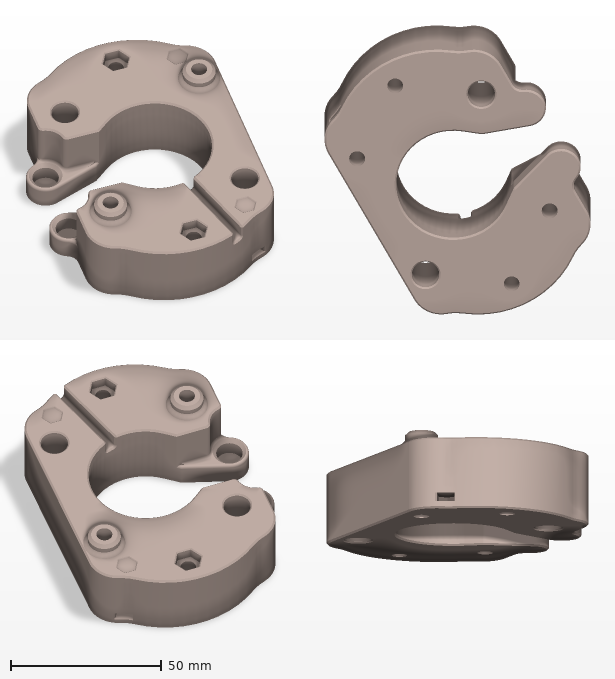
import cadquery as cq
import math

body_height = 24.0
outline_center_y = -1.55
half_depth = 32.75
corner_center_x = 29.6
corner_radius = 10.25
side_center_x = 14.1
side_radius = 34.735
neck_radius = 16.0
edge_chamfer = 0.6
front_y = outline_center_y - half_depth

bore_radius = 19.0
flank_angle = 38.0
gap_half_width = 12.0

tab_x = gap_half_width
tab_y = front_y
tab_radius = 6.5
tab_height = 8.5
tab_edge_fillet = 1.03
web_angle = 18.4
web_tip_fillet = 2.0
tab_root_radius = 4.0
tab_clearance_radius = tab_radius
wall_fillet = 1.75
foot_fillet = 1.03
pocket_diameter = 8.8
pocket_rim_diameter = 11.2
pocket_floor_z = 2.4

bolt_offset = 47.14 / 2
bolt_diameter = 5.3
spigot_diameter = 11.0
spigot_top_diameter = 8.8
spigot_foot_diameter = 14.0
overall_height = 28.4
clearance_diameter = 9.1
clearance_rim = 0.5

nut_x = 40.15
nut_hole_diameter = 5.2
nut_flats = 8.1
nut_depth = 4.0
hex_rim = 0.4
recess_x = 35.1
recess_y = 19.9
recess_flats = 5.9

nut_slot_angle = 150.0
nut_slot_width = recess_flats
nut_slot_bottom_z = 2.4
nut_slot_height = 2.9
nut_slot_flare_start = 5.4
nut_slot_reach = 10.0

slot_angle = 17.0
slot_width = 3.7
slot_depth = 5.3
slot_floor_fillet = 0.8
slot_length = 60.0

tolerance = 0.01


def polar(center, radius, degrees):
    """Point on a circle."""
    angle = math.radians(degrees)
    return (center[0] + radius * math.cos(angle), center[1] + radius * math.sin(angle))


def mirror_x(solid):
    """Copy of a solid on the other side of the YZ plane."""
    return solid.mirror("YZ")


def toward(start, target, distance):
    """Point at a distance from start on the way to target."""
    span = math.dist(start, target)
    return tuple(s + (t - s) * distance / span for s, t in zip(start, target))


def heading(start, target):
    """Direction from start to target in degrees."""
    return math.degrees(math.atan2(target[1] - start[1], target[0] - start[0]))


def make_block():
    """Rounded plate, worked out in the quadrant above outline_center_y and mirrored."""
    corner = (corner_center_x, half_depth - corner_radius)
    side = (side_center_x, 0.0)
    corner_reach = corner_radius + neck_radius
    side_reach = side_radius + neck_radius
    span = math.dist(side, corner)
    cosine = (side_reach**2 + span**2 - corner_reach**2) / (2 * side_reach * span)
    neck_heading = heading(side, corner) - math.degrees(math.acos(cosine))
    neck = polar(side, side_reach, neck_heading)

    corner_end = toward(corner, neck, corner_radius)
    neck_end = toward(side, neck, side_radius)
    corner_mid = polar(corner, corner_radius, (90 + heading(corner, neck)) / 2)
    neck_mid = toward(neck, tuple((a + b) / 2 for a, b in zip(corner_end, neck_end)), neck_radius)
    quarter = (
        cq.Workplane("XY")
        .moveTo(0, 0)
        .lineTo(0, half_depth)
        .lineTo(corner_center_x, half_depth)
        .threePointArc(corner_mid, corner_end)
        .threePointArc(neck_mid, neck_end)
        .threePointArc(polar(side, side_radius, neck_heading / 2), (side_center_x + side_radius, 0))
        .close()
        .extrude(body_height)
    )
    half = quarter.union(quarter.mirror("XZ"))
    return half.union(mirror_x(half)).clean().translate((0, outline_center_y, 0))


def flank_x(y):
    """Half width of the opening on the straight flank tangent to the bore."""
    touch = polar((0, 0), bore_radius, -flank_angle)
    return touch[0] + (y - touch[1]) * math.tan(math.radians(flank_angle))


def flank_y(x):
    """Y of the flank at a given half width."""
    touch = polar((0, 0), bore_radius, -flank_angle)
    return touch[1] + (x - touch[0]) / math.tan(math.radians(flank_angle))


def cut_opening(block):
    """Bore, flared opening to the front and the hollows around the tabs."""
    touch = polar((0, 0), bore_radius, -flank_angle)
    throat = (gap_half_width, flank_y(gap_half_width))
    below = front_y - tab_radius
    opening = (
        cq.Workplane("XY")
        .moveTo(*touch)
        .threePointArc((0, bore_radius), (-touch[0], touch[1]))
        .lineTo(-throat[0], throat[1])
        .lineTo(-throat[0], below)
        .lineTo(throat[0], below)
        .lineTo(*throat)
        .close()
        .extrude(body_height)
    )
    hollows = (
        cq.Workplane("XY")
        .pushPoints([(-tab_x, tab_y), (tab_x, tab_y)])
        .circle(tab_clearance_radius)
        .extrude(body_height)
    )
    block = block.cut(opening).cut(hollows)
    hollow_top_y = tab_y + tab_clearance_radius
    hollow_side_x = tab_x + tab_clearance_radius
    for x, y in [(tab_x, hollow_top_y), (hollow_side_x, front_y)]:
        for sign in (-1, 1):
            near = cq.selectors.BoxSelector(
                (sign * x - tolerance, y - tolerance, 0),
                (sign * x + tolerance, y + tolerance, body_height),
            )
            block = block.edges("|Z").edges(near).fillet(wall_fillet)
    return block


def cut_slot(block):
    """Radial slot with a rounded floor from the bore to the right-hand side."""
    slot = (
        cq.Workplane("XY")
        .box(slot_length, slot_width, slot_depth, centered=(False, True, False))
        .edges("|X and <Z")
        .fillet(slot_floor_fillet)
        .translate((0, 0, body_height - slot_depth))
        .rotate((0, 0, 0), (0, 0, 1), slot_angle)
    )
    return block.cut(slot)


def web_tangent_point():
    """Where the straight web edge leaves the round end of the right-hand tab."""
    return polar((tab_x, tab_y), tab_radius, 180 - web_angle)


def web_tip():
    """Where the web edge meets the flank carried on past the wall."""
    touch = web_tangent_point()
    web_slope = math.tan(math.radians(web_angle))
    flank_slope = math.tan(math.radians(flank_angle))
    y = (touch[0] - touch[1] * web_slope - flank_x(0)) / (flank_slope - web_slope)
    return (flank_x(y), y)


def tab_outline():
    """Right-hand tab: round end, web up to the opening flank, root curve to the front wall."""
    center = (tab_x, tab_y)
    throat_y = flank_y(gap_half_width)
    root_run = math.sqrt((tab_radius + tab_root_radius) ** 2 - tab_root_radius**2)
    root = (tab_x + root_run, front_y - tab_root_radius)
    root_touch = toward(center, root, tab_radius)
    root_mid = polar(root, tab_root_radius, (90 + heading(root, center)) / 2)
    inside_y = front_y + tab_clearance_radius + wall_fillet
    return (
        cq.Workplane("XY")
        .moveTo(*web_tip())
        .lineTo(*web_tangent_point())
        .threePointArc(polar(center, tab_radius, 270), root_touch)
        .threePointArc(root_mid, (root[0], front_y))
        .lineTo(root[0], inside_y)
        .lineTo(gap_half_width + wall_fillet, throat_y)
        .lineTo(gap_half_width, throat_y)
        .close()
    )


def tab_prism():
    """Plain upright prism of the tab with the web tip rounded."""
    tip = cq.selectors.NearestToPointSelector((web_tip()[0], web_tip()[1], tab_height / 2))
    return tab_outline().extrude(tab_height).edges("|Z").edges(tip).fillet(web_tip_fillet)


def all_at_height(z):
    """Selector for edges lying wholly at one height."""
    reach = 2 * side_radius
    return cq.selectors.BoxSelector(
        (-reach, -reach, z - tolerance), (reach, reach, z + tolerance), boundingbox=True
    )


def make_tab(block):
    """Right-hand tab with a rounded free edge and a filleted foot against the block wall."""
    free_edges = tab_prism().faces(">Z").edges()
    block_solid = block.val()
    rounded = [e for e in free_edges.vals() if not block_solid.isInside(e.positionAt(0.5), tolerance)]
    plate = free_edges.newObject(rounded).fillet(tab_edge_fillet)

    space_width = 2 * corner_center_x
    space_depth = 40.0
    space = (
        cq.Workplane("XY")
        .box(space_width, space_depth, body_height - tab_height, centered=(True, True, False))
        .translate((0, tab_y + tab_clearance_radius - wall_fillet, tab_height))
        .cut(block)
        .edges(all_at_height(tab_height))
        .fillet(foot_fillet)
    )
    foot = (
        tab_outline()
        .offset2D(-tab_edge_fillet, "intersection")
        .extrude(foot_fillet)
        .translate((0, 0, tab_height))
        .cut(space)
    )
    return plate.union(foot.cut(block))


def revolved(points, x, y):
    """Solid of revolution about an upright axis from (radius, z) points."""
    return cq.Workplane("XZ").polyline(points).close().revolve(360, (0, 0), (0, 1)).translate((x, y, 0))


def make_spigot(x, y):
    """Locating spigot on a conical foot, with a bevelled top."""
    foot_height = (spigot_foot_diameter - spigot_diameter) / 2
    bevel = (spigot_diameter - spigot_top_diameter) / 2
    points = [
        (0, body_height),
        (spigot_foot_diameter / 2, body_height),
        (spigot_diameter / 2, body_height + foot_height),
        (spigot_diameter / 2, overall_height - bevel),
        (spigot_top_diameter / 2, overall_height),
        (0, overall_height),
    ]
    return revolved(points, x, y)


def make_hole(x, y, diameter):
    """Plain through hole."""
    return cq.Workplane("XY").center(x, y).circle(diameter / 2).extrude(overall_height)


def make_clearance_hole(x, y):
    """Through hole with a bevelled rim at both ends."""
    radius = clearance_diameter / 2
    rim = clearance_rim
    points = [
        (0, 0),
        (radius + rim, 0),
        (radius, rim),
        (radius, body_height - rim),
        (radius + rim, body_height),
        (0, body_height),
    ]
    return revolved(points, x, y)


def make_pocket(x, y):
    """Blind round pocket in a tab with a flared mouth."""
    radius = pocket_diameter / 2
    mouth_z = tab_height - (pocket_rim_diameter / 2 - radius)
    top_z = mouth_z + tab_radius - radius
    points = [
        (0, pocket_floor_z),
        (radius, pocket_floor_z),
        (radius, mouth_z),
        (tab_radius, top_z),
        (0, top_z),
    ]
    return revolved(points, x, y)


def hexagon(x, y, z, flats):
    """Hexagon with two flats facing along X."""
    point_diameter = flats / math.cos(math.radians(30))
    plane = cq.Workplane("XY").workplane(offset=z).center(x, y).transformed((0, 0, 90))
    return plane.polygon(6, point_diameter)


def make_hex_seat(x, y, flats, depth):
    """Hexagonal recess from the top face with a bevelled rim."""
    seat = hexagon(x, y, body_height - depth, flats).extrude(depth)
    rim = hexagon(x, y, body_height - hex_rim, flats).extrude(hex_rim, taper=-45)
    return seat.union(rim)


def make_nut_slot():
    """Left-hand nut slot: hexagonal inner end, straight channel and flared mouth."""
    half_width = nut_slot_width / 2
    flared = half_width + nut_slot_reach - nut_slot_flare_start
    channel = (
        cq.Workplane("XY")
        .moveTo(0, -half_width)
        .lineTo(nut_slot_flare_start, -half_width)
        .lineTo(nut_slot_reach, -flared)
        .lineTo(nut_slot_reach, flared)
        .lineTo(nut_slot_flare_start, half_width)
        .lineTo(0, half_width)
        .close()
        .extrude(nut_slot_height)
        .rotate((0, 0, 0), (0, 0, 1), nut_slot_angle)
        .translate((-recess_x, recess_y, nut_slot_bottom_z))
    )
    end = hexagon(-recess_x, recess_y, nut_slot_bottom_z, nut_slot_width).extrude(nut_slot_height)
    return channel.union(end)


def slot_mouth_edges(block):
    """Edges where the cable slot breaks through the bore and the side wall."""
    angle = math.radians(slot_angle)
    along = cq.Vector(math.cos(angle), math.sin(angle), 0)
    across = cq.Vector(-math.sin(angle), math.cos(angle), 0)

    def at_mouth(edge):
        middle = edge.positionAt(0.5)
        in_slot = middle.dot(along) > 0 and abs(middle.dot(across)) < slot_width / 2 + tolerance
        lengthwise = abs(edge.tangentAt(0.5).dot(along)) > 1 - tolerance
        return in_slot and not lengthwise and body_height - slot_depth - tolerance < middle.z

    return block.edges().filter(at_mouth)


def build():
    """Block with its tabs, then spigots, holes, hexagonal recesses and nut slots."""
    block = cut_slot(cut_opening(make_block()))
    tab = make_tab(block)
    block = block.faces(">Z").edges().add(slot_mouth_edges(block)).chamfer(edge_chamfer)
    part = block.union(tab).union(mirror_x(tab))
    part = part.faces("<Z").edges().chamfer(edge_chamfer)

    for sign in (-1, 1):
        part = part.cut(make_pocket(sign * tab_x, tab_y))
        part = part.union(make_spigot(sign * bolt_offset, -sign * bolt_offset))
        part = part.cut(make_hole(sign * bolt_offset, -sign * bolt_offset, bolt_diameter))
        part = part.cut(make_clearance_hole(sign * bolt_offset, sign * bolt_offset))
        part = part.cut(make_hex_seat(sign * nut_x, 0, nut_flats, nut_depth))
        part = part.cut(make_hole(sign * nut_x, 0, nut_hole_diameter))
        part = part.cut(make_hex_seat(sign * recess_x, recess_y, recess_flats, hex_rim))
    return part.cut(make_nut_slot()).cut(mirror_x(make_nut_slot()))


result = build()